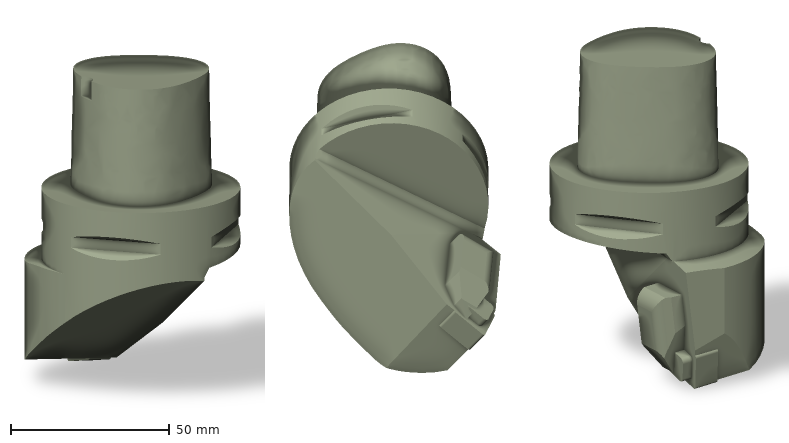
import cadquery as cq
import math

FLANGE_DIAMETER = 63.0
FLANGE_HEIGHT = 23.1
FLANGE_RADIUS = FLANGE_DIAMETER / 2

SHANK_HEIGHT = 38.0
SHANK_BASE_RADIUS = 22.0
SHANK_TOP_RADIUS = 21.1
LOBE_HEIGHT = 1.4
LOBE_COUNT = 3
OUTLINE_POINTS = 36
KEYWAY_RADIUS = 4.2
KEYWAY_CENTER_Y = -22.0
KEYWAY_LENGTH = 6.4

SLOT_FLOOR_RADIUS = 27.8
SLOT_CENTER_Z = -12.0
SLOT_FLOOR_WIDTH = 3.5
SLOT_MOUTH_WIDTH = 7.4
SLOT_ANGLES = (45, 135, 225, 315)

HEAD_LEFT_X = -38.3
HEAD_FRONT_Y = -32.6
HEAD_BOTTOM_Z = -72.0
SHOULDER_SLOPE = 0.25
SHOULDER_REACH = 12.3
OVERHANG_REAR_Y = 10.3
BACK_WALL_Y = 6.2
FLANGE_CUT_RIM_Z = -18.2
FLANGE_CUT_ROOT = (8.1, -20.3)
LARGE = 205.8

RAKE_SLOPE_X = 0.09
RAKE_SLOPE_Z = 0.124
TIP = (-35.1, 0.2, -65.1)
RAKE = cq.Plane(
    origin=TIP,
    xDir=(1, RAKE_SLOPE_X, 0),
    normal=(RAKE_SLOPE_X, -1, RAKE_SLOPE_Z),
)

INSERT_SIDE = 12.7
INSERT_THICKNESS = 8.1
INSERT_CORNER_RADIUS = 0.9
INSERT_ANGLE = 14.5

CLAMP_HEIGHT = 8.4
CLAMP_LENGTH = 31.9
CLAMP_LEFT = 1.7
CLAMP_RIGHT = 16.5
CLAMP_ROOT = 2.1
BREAKER_INSET = 2.3
BREAKER_SIDE = 8.7
BREAKER_HEIGHT = 3.4
BREAKER_CORNER_RADIUS = 1.5


def lobed_section(mean_radius, z):
    points = []
    for i in range(OUTLINE_POINTS):
        angle = 2 * math.pi * i / OUTLINE_POINTS
        radius = mean_radius + LOBE_HEIGHT * math.cos(LOBE_COUNT * angle)
        points.append(cq.Vector(radius * math.sin(angle), radius * math.cos(angle), z))
    return cq.Wire.assembleEdges([cq.Edge.makeSpline(points, periodic=True)])


def make_shank():
    base = lobed_section(SHANK_BASE_RADIUS, 0)
    top = lobed_section(SHANK_TOP_RADIUS, SHANK_HEIGHT)
    shank = cq.Workplane(cq.Solid.makeLoft([base, top], True))
    keyway = (
        cq.Workplane("XY", origin=(0, KEYWAY_CENTER_Y, SHANK_HEIGHT - KEYWAY_LENGTH))
        .circle(KEYWAY_RADIUS)
        .extrude(KEYWAY_LENGTH)
    )
    return shank.cut(keyway)


def make_slot_cutter(angle):
    """Slot with a flat floor and flared sides, running along a chord of the rim."""
    depth = FLANGE_RADIUS - SLOT_FLOOR_RADIUS
    return (
        cq.Workplane("YZ", origin=(SLOT_FLOOR_RADIUS, 0, SLOT_CENTER_Z))
        .rect(FLANGE_DIAMETER, SLOT_FLOOR_WIDTH)
        .workplane(offset=depth)
        .rect(FLANGE_DIAMETER, SLOT_MOUTH_WIDTH)
        .loft(ruled=True)
        .rotate((0, 0, 0), (0, 0, 1), angle)
    )


def half_space_below(origin, slope_x, slope_y):
    """Everything below the plane through origin with the given slopes of Z."""
    plane = cq.Plane(origin=origin, xDir=(1, 0, slope_x), normal=(-slope_x, -slope_y, 1))
    return cq.Workplane(plane).rect(LARGE, LARGE).extrude(-LARGE)


def make_shoulder_cone():
    """Envelope whose conical top passes through the flange's lower edge."""
    outer = FLANGE_RADIUS + SHOULDER_REACH
    apex_z = -FLANGE_HEIGHT + FLANGE_RADIUS * SHOULDER_SLOPE
    return (
        cq.Workplane("XZ")
        .moveTo(0, apex_z)
        .lineTo(outer, apex_z - outer * SHOULDER_SLOPE)
        .lineTo(outer, HEAD_BOTTOM_Z)
        .lineTo(0, HEAD_BOTTOM_Z)
        .close()
        .revolve(360, (0, 0, 0), (0, 1, 0))
    )


def make_overhang():
    """Part of the head that stands out past the flange on the left and front."""
    blend_x = 6.5
    blend_y = -math.sqrt(FLANGE_RADIUS**2 - blend_x**2)
    return (
        cq.Workplane("XY", origin=(0, 0, HEAD_BOTTOM_Z))
        .moveTo(HEAD_LEFT_X, OVERHANG_REAR_Y)
        .lineTo(HEAD_LEFT_X, -8.5)
        .threePointArc((-31.2, -22.2), (-19.6, -31.2))
        .tangentArcPoint((-12.6, HEAD_FRONT_Y), relative=False)
        .lineTo(-6.9, HEAD_FRONT_Y)
        .tangentArcPoint((3.4, -31.5), relative=False)
        .lineTo(blend_x, blend_y)
        .lineTo(0, OVERHANG_REAR_Y)
        .close()
        .extrude(-HEAD_BOTTOM_Z)
        .intersect(make_shoulder_cone())
    )


def make_blank():
    """Flange and cutting head before the rear is cleared."""
    blank = cq.Workplane("XY").circle(FLANGE_RADIUS).extrude(HEAD_BOTTOM_Z).union(make_overhang())
    long_slope = half_space_below((FLANGE_RADIUS, 0, -23.3), 0.726, -0.08)
    end_relief = half_space_below((-33.2, -19.6, -61.6), 0.24, -0.11)
    left_relief = half_space_below((HEAD_LEFT_X, 1.9, -51.0), -3.9, -0.42)
    for relief in (long_slope, end_relief, left_relief):
        blank = blank.cut(relief)
    return blank


def make_back_clearance():
    """Space behind the head and under the rear half of the flange."""
    root_y, root_z = FLANGE_CUT_ROOT
    return (
        cq.Workplane("YZ", origin=(-LARGE / 2, 0, 0))
        .moveTo(FLANGE_RADIUS, FLANGE_CUT_RIM_Z)
        .lineTo(root_y, root_z)
        .lineTo(BACK_WALL_Y, -FLANGE_HEIGHT)
        .lineTo(BACK_WALL_Y, HEAD_BOTTOM_Z)
        .lineTo(FLANGE_RADIUS + 1, HEAD_BOTTOM_Z)
        .lineTo(FLANGE_RADIUS + 1, FLANGE_CUT_RIM_Z)
        .close()
        .extrude(LARGE)
    )


def make_rake_clearance():
    """Space above the rake plane, limited to below the flange."""
    above = cq.Workplane(RAKE).rect(LARGE, LARGE).extrude(-LARGE)
    below_flange = half_space_below((0, 0, -FLANGE_HEIGHT), 0, 0)
    return above.intersect(below_flange)


def turned_square(inset, side):
    """Square aligned with the insert edges, drawn on the rake plane."""
    plane = RAKE.rotated((0, 0, INSERT_ANGLE))
    return cq.Workplane(plane).center(inset, inset).rect(side, side, centered=False)


def make_insert():
    return (
        turned_square(0, INSERT_SIDE)
        .extrude(INSERT_THICKNESS)
        .edges(cq.selectors.ParallelDirSelector(RAKE.zDir))
        .fillet(INSERT_CORNER_RADIUS)
    )


def make_clamp():
    """Clamp shaped by its side profile, its outline and its cross-section."""
    profile = (
        cq.Workplane(cq.Plane(origin=(0, 0, 0), xDir=(0, 1, 0), normal=(1, 0, 0)))
        .moveTo(CLAMP_LENGTH, CLAMP_ROOT)
        .lineTo(CLAMP_LENGTH, -5.1)
        .threePointArc((30.0, -7.4), (26.8, -CLAMP_HEIGHT))
        .lineTo(13.7, -CLAMP_HEIGHT)
        .lineTo(5.5, -4.0)
        .lineTo(2.6, 0)
        .lineTo(2.6, CLAMP_ROOT)
        .close()
        .extrude(CLAMP_RIGHT)
    )
    outline = (
        cq.Workplane("XY", origin=(0, 0, -CLAMP_HEIGHT))
        .polyline([
            (CLAMP_LEFT, CLAMP_LENGTH),
            (CLAMP_LEFT, 21.4),
            (7.2, 2.6),
            (12.3, 5.7),
            (CLAMP_RIGHT, 12.3),
            (CLAMP_RIGHT, CLAMP_LENGTH),
        ])
        .close()
        .extrude(CLAMP_HEIGHT + CLAMP_ROOT)
    )
    section = (
        cq.Workplane(cq.Plane(origin=(0, 0, 0), xDir=(1, 0, 0), normal=(0, 1, 0)))
        .moveTo(CLAMP_LEFT, -CLAMP_ROOT)
        .lineTo(CLAMP_LEFT, 0)
        .lineTo(2.3, 3.6)
        .lineTo(3.7, 6.0)
        .threePointArc((5.1, 7.7), (7.4, CLAMP_HEIGHT))
        .lineTo(CLAMP_RIGHT, CLAMP_HEIGHT)
        .lineTo(CLAMP_RIGHT, -CLAMP_ROOT)
        .close()
        .extrude(CLAMP_LENGTH)
    )
    clamp = profile.intersect(outline).intersect(section)
    return cq.Workplane(clamp.val().moved(cq.Location(RAKE)))


def make_chip_breaker():
    return (
        turned_square(BREAKER_INSET, BREAKER_SIDE)
        .extrude(-BREAKER_HEIGHT)
        .edges(cq.selectors.ParallelDirSelector(RAKE.zDir))
        .fillet(BREAKER_CORNER_RADIUS)
    )


insert = make_insert()
holder = make_blank().cut(make_back_clearance()).cut(make_rake_clearance())
for slot_angle in SLOT_ANGLES:
    holder = holder.cut(make_slot_cutter(slot_angle))
for feature in (make_shank(), make_clamp(), make_chip_breaker()):
    holder = holder.union(feature)
holder = holder.cut(insert)

result = cq.Compound.makeCompound([holder.val(), insert.val()])